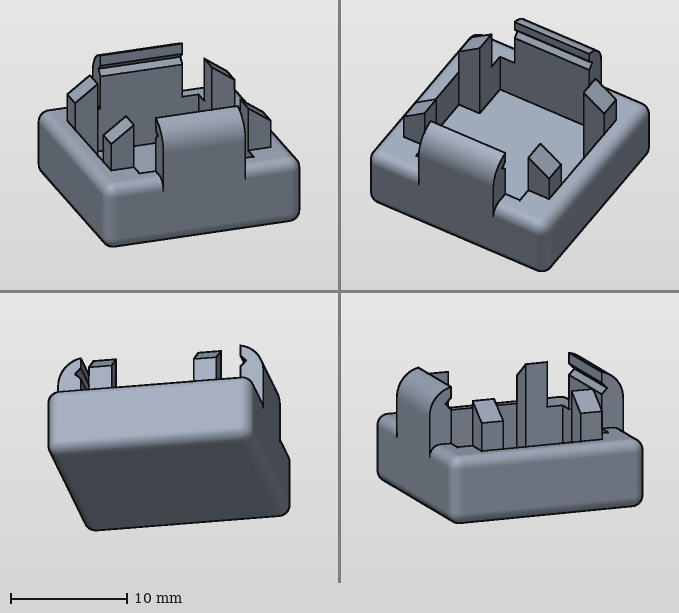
import cadquery as cq
import math

side = 18.0
base_height = 6.0
edge_radius = 1.0

floor_thickness = 2.0
pocket_x = 14.0
pocket_y = 10.44
post_bay_x = 11.2
post_bay_y = 14.6

post_x = 2.0
post_y = (post_bay_y - pocket_y) / 2
post_peak = 9.97
post_shoulder = 8.48

clip_height = 11.0
clip_width = 7.5
clip_radius = 2.5
notch_height = 9.54
notch_depth = 0.5
clip_thickness = (side - pocket_x) / 2


def make_base():
    """Rounded block with the cross-shaped pocket open at the top."""
    block = cq.Workplane("XY").box(side, side, base_height, centered=(True, True, False))
    block = block.edges().fillet(edge_radius)
    pocket_depth = base_height - floor_thickness
    for size_x, size_y in ((pocket_x, pocket_y), (post_bay_x, post_bay_y)):
        opening = (
            cq.Workplane("XY", origin=(0, 0, floor_thickness))
            .rect(size_x, size_y)
            .extrude(pocket_depth)
        )
        block = block.cut(opening)
    return block


def make_clip():
    """Clip on the -X side: rounded outside, V-notch on the inner face."""
    outer = -side / 2
    inner = outer + clip_thickness
    arc_center_x = outer + clip_radius
    end_angle = math.acos((inner - arc_center_x) / clip_radius)
    arc_center_z = clip_height - clip_radius * math.sin(end_angle)
    middle_angle = (math.pi + end_angle) / 2
    arc_middle = (
        arc_center_x + clip_radius * math.cos(middle_angle),
        arc_center_z + clip_radius * math.sin(middle_angle),
    )
    return (
        cq.Workplane("XZ")
        .moveTo(outer, edge_radius)
        .lineTo(outer, arc_center_z)
        .threePointArc(arc_middle, (inner, clip_height))
        .lineTo(inner, notch_height + notch_depth)
        .lineTo(inner - notch_depth, notch_height)
        .lineTo(inner, notch_height - notch_depth)
        .lineTo(inner, edge_radius)
        .close()
        .extrude(clip_width / 2, both=True)
    )


def make_post():
    """Post in the -X, -Y corner, its top sloping down toward the -Y side."""
    outer = -post_bay_y / 2
    inner = outer + post_y
    return (
        cq.Workplane("YZ", origin=(-post_bay_x / 2, 0, 0))
        .moveTo(outer, edge_radius)
        .lineTo(outer, post_shoulder)
        .lineTo(inner, post_peak)
        .lineTo(inner, edge_radius)
        .close()
        .extrude(post_x)
    )


clip = make_clip()
front_post = make_post()
back_post = front_post.mirror("XZ")

result = make_base()
for feature in (clip, front_post, back_post):
    result = result.union(feature).union(feature.mirror("YZ"))